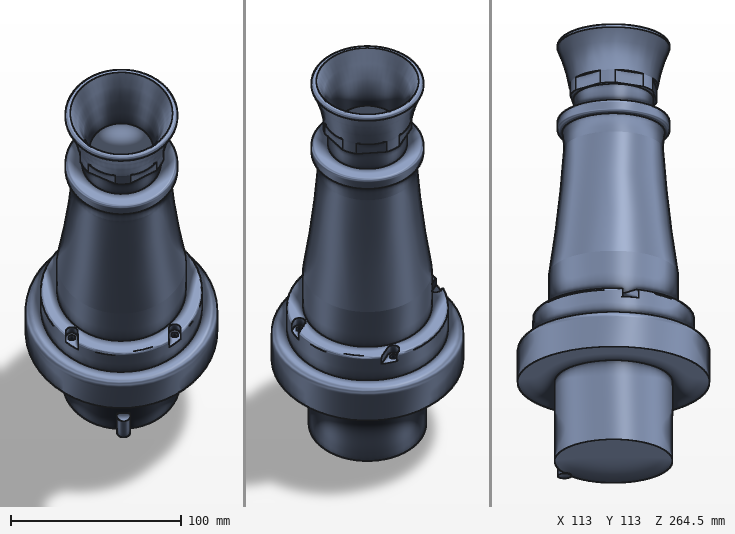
import cadquery as cq
import math

BODY_HEIGHT = 264.0
FLANGE_BOTTOM = 50.0
FLANGE_TOP = 73.2
COLLAR_TOP = 91.0
TAPER_BOTTOM = 118.0
TAPER_TOP = 197.0
RING_BOTTOM = 208.0
RING_TOP = 216.1
BAND_BOTTOM = 229.4
BAND_TOP = 237.4

STEM_RADIUS = 34.7
FLANGE_RADIUS = 56.5
COLLAR_RADIUS = 47.5
BARREL_RADIUS = 38.0
WAIST_RADIUS = 29.2
WAIST_TOP_RADIUS = 30.2
RING_RADIUS = 33.1
NECK_RADIUS = 23.4
BAND_RADIUS = 26.1

FLANGE_ROUND = 4.0
COLLAR_ROUND = 1.5
RING_ROUND = 2.0

TAPER_BOW = 0.9
WAIST_BOW = 0.25
HORN_BOW = 0.9
BOWL_BOW = 2.3

HORN_RADIUS = RING_RADIUS
RIM_HEIGHT = 2.5
RIM_ROUND = 1.8
BOWL_MOUTH_RADIUS = 30.1
BOWL_FLOOR_RADIUS = 18.7
BOWL_DEPTH = 35.0

HEX_SIDES = 6
HEX_ACROSS_FLATS = 49.0

NOTCH_COUNT = 4
NOTCH_PITCH_RADIUS = 42.8
NOTCH_ANGLE = 75.0
NOTCH_SLANT = 45.0
NOTCH_RADIUS = 3.6
NOTCH_DEPTH = 5.6
NOTCH_REACH = 15.0
NOTCH_HOLE_RADIUS = 2.0
NOTCH_HOLE_DEPTH = 5.0

PIN_RADIUS = 4.0
PIN_PITCH_RADIUS = 36.5
PIN_ANGLE = -60.0
PIN_DROP = 0.5
PIN_TOP = 15.5


def bowed_middle(start, end, bow):
    """Middle point of an arc that sags toward the axis by the given bow."""
    return ((start[0] + end[0]) / 2 - bow, (start[1] + end[1]) / 2)


def round_middle(center_radius, center_height, radius, direction):
    """Middle point of a quarter-round edge; direction is +1 for upper, -1 for lower edges."""
    offset = radius * math.sqrt(0.5)
    return (center_radius + offset, center_height + direction * offset)


def upper_round(profile, outer_radius, top, radius):
    """Draw an outer wall up to its rounded upper edge and around it."""
    center_radius = outer_radius - radius
    center_height = top - radius
    middle = round_middle(center_radius, center_height, radius, 1)
    return profile.lineTo(outer_radius, center_height).threePointArc(middle, (center_radius, top))


def lower_round(profile, outer_radius, bottom, radius):
    """Draw a step out to a rounded lower edge and around it."""
    center_radius = outer_radius - radius
    center_height = bottom + radius
    middle = round_middle(center_radius, center_height, radius, -1)
    return profile.lineTo(center_radius, bottom).threePointArc(middle, (outer_radius, center_height))


def make_turned_body():
    """Revolve the full profile: stem, flange, collar, tapered barrel, ring, neck and horn."""
    barrel_end = (BARREL_RADIUS, TAPER_BOTTOM)
    waist = (WAIST_RADIUS, TAPER_TOP)
    waist_end = (WAIST_TOP_RADIUS, RING_BOTTOM)
    horn_start = (BAND_RADIUS, BAND_TOP)
    horn_end = (HORN_RADIUS, BODY_HEIGHT - RIM_HEIGHT)
    bowl_start = (BOWL_MOUTH_RADIUS, BODY_HEIGHT)
    bowl_end = (BOWL_FLOOR_RADIUS, BODY_HEIGHT - BOWL_DEPTH)

    profile = cq.Workplane("XZ").moveTo(0, 0).lineTo(STEM_RADIUS, 0)
    profile = profile.lineTo(STEM_RADIUS, FLANGE_BOTTOM).lineTo(FLANGE_RADIUS, FLANGE_BOTTOM)
    profile = upper_round(profile, FLANGE_RADIUS, FLANGE_TOP, FLANGE_ROUND)
    profile = profile.lineTo(COLLAR_RADIUS, FLANGE_TOP)
    profile = upper_round(profile, COLLAR_RADIUS, COLLAR_TOP, COLLAR_ROUND)
    profile = profile.lineTo(BARREL_RADIUS, COLLAR_TOP).lineTo(*barrel_end)
    profile = profile.threePointArc(bowed_middle(barrel_end, waist, TAPER_BOW), waist)
    profile = profile.threePointArc(bowed_middle(waist, waist_end, WAIST_BOW), waist_end)
    profile = lower_round(profile, RING_RADIUS, RING_BOTTOM, RING_ROUND)
    profile = upper_round(profile, RING_RADIUS, RING_TOP, RING_ROUND)
    profile = profile.lineTo(NECK_RADIUS, RING_TOP).lineTo(NECK_RADIUS, BAND_BOTTOM)
    profile = profile.lineTo(BAND_RADIUS, BAND_BOTTOM).lineTo(*horn_start)
    profile = profile.threePointArc(bowed_middle(horn_start, horn_end, HORN_BOW), horn_end)
    profile = upper_round(profile, HORN_RADIUS, BODY_HEIGHT, RIM_ROUND)
    profile = profile.lineTo(*bowl_start)
    profile = profile.threePointArc(bowed_middle(bowl_start, bowl_end, BOWL_BOW), bowl_end)
    profile = profile.lineTo(0, BODY_HEIGHT - BOWL_DEPTH).close()
    return profile.revolve(360, (0, 0, 0), (0, 1, 0))


def make_hex_trim():
    """Ring that trims the band to hexagonal flats, two of them facing along Y."""
    across_corners = HEX_ACROSS_FLATS / math.cos(math.pi / HEX_SIDES)
    band = cq.Workplane("XY").workplane(offset=BAND_BOTTOM)
    height = BAND_TOP - BAND_BOTTOM
    return band.circle(HORN_RADIUS).polygon(HEX_SIDES, across_corners).extrude(height)


def make_notch(slant):
    """Round-ended slot with a hole in its floor, on the +X side of the collar."""
    floor = COLLAR_TOP - NOTCH_DEPTH
    center = cq.Workplane("XY").workplane(offset=floor)
    pocket = center.circle(NOTCH_RADIUS).extrude(NOTCH_DEPTH)
    channel = center.center(NOTCH_REACH / 2, 0).rect(NOTCH_REACH, 2 * NOTCH_RADIUS).extrude(NOTCH_DEPTH)
    hole = center.circle(NOTCH_HOLE_RADIUS).extrude(-NOTCH_HOLE_DEPTH)
    notch = pocket.union(channel).union(hole)
    notch = notch.rotate((0, 0, 0), (0, 0, 1), slant)
    return notch.translate((NOTCH_PITCH_RADIUS, 0, 0))


def make_pin():
    """Upright key pin that stands slightly below the bottom of the stem."""
    angle = math.radians(PIN_ANGLE)
    pin = cq.Workplane("XY").workplane(offset=-PIN_DROP)
    pin = pin.center(PIN_PITCH_RADIUS * math.cos(angle), PIN_PITCH_RADIUS * math.sin(angle))
    return pin.circle(PIN_RADIUS).extrude(PIN_TOP + PIN_DROP)


result = make_turned_body().cut(make_hex_trim())
for index in range(NOTCH_COUNT):
    turn = NOTCH_ANGLE + index * 360 / NOTCH_COUNT
    slant = NOTCH_SLANT if index % 2 == 0 else -NOTCH_SLANT
    result = result.cut(make_notch(slant).rotate((0, 0, 0), (0, 0, 1), turn))
result = result.union(make_pin())